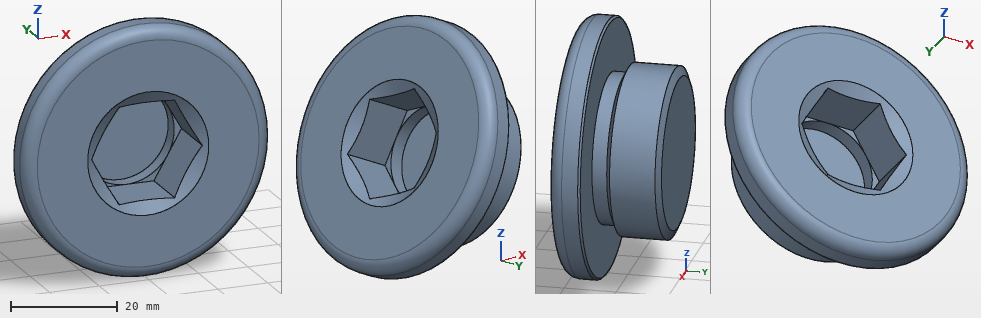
import cadquery as cq
import math

flange_radius = 24.9
flange_thickness = 6.0
front_fillet = 2.55
back_chamfer = 0.4

total_length = 19.4
neck_radius = 14.45
neck_length = 2.85
body_radius = 16.45
shoulder_length = 1.0
end_chamfer_length = 0.85
end_chamfer_depth = 1.85

socket_across_flats = 19.3
socket_corner_diameter = socket_across_flats / math.cos(math.pi / 6)
lead_in_diameter = 24.4
lead_in_angle = 60.0
hex_depth = 11.15
socket_depth = 14.2


def make_plug():
    """Revolve the outer half profile about the Y axis."""
    neck_end = flange_thickness + neck_length
    arc_offset = front_fillet * (1 - math.sqrt(0.5))
    profile = (
        cq.Workplane("XY")
        .lineTo(flange_radius - front_fillet, 0)
        .threePointArc(
            (flange_radius - arc_offset, arc_offset),
            (flange_radius, front_fillet),
        )
        .lineTo(flange_radius, flange_thickness - back_chamfer)
        .lineTo(flange_radius - back_chamfer, flange_thickness)
        .lineTo(neck_radius, flange_thickness)
        .lineTo(neck_radius, neck_end)
        .lineTo(body_radius, neck_end + shoulder_length)
        .lineTo(body_radius, total_length - end_chamfer_length)
        .lineTo(body_radius - end_chamfer_depth, total_length)
        .lineTo(0, total_length)
        .close()
    )
    return profile.revolve(360, (0, 0, 0), (0, 1, 0))


def make_socket():
    """Build the cutting tool: hexagon, bottom relief and lead-in cone."""
    hexagon = cq.Workplane("XZ").polygon(6, socket_corner_diameter).extrude(-hex_depth)
    relief = cq.Workplane("XZ").circle(socket_across_flats / 2).extrude(-socket_depth)
    lead_in_radius = lead_in_diameter / 2
    cone_height = lead_in_radius / math.tan(math.radians(lead_in_angle))
    lead_in = (
        cq.Workplane("XY")
        .lineTo(lead_in_radius, 0)
        .lineTo(0, cone_height)
        .close()
        .revolve(360, (0, 0, 0), (0, 1, 0))
    )
    return hexagon.union(relief).union(lead_in)


result = make_plug().cut(make_socket())